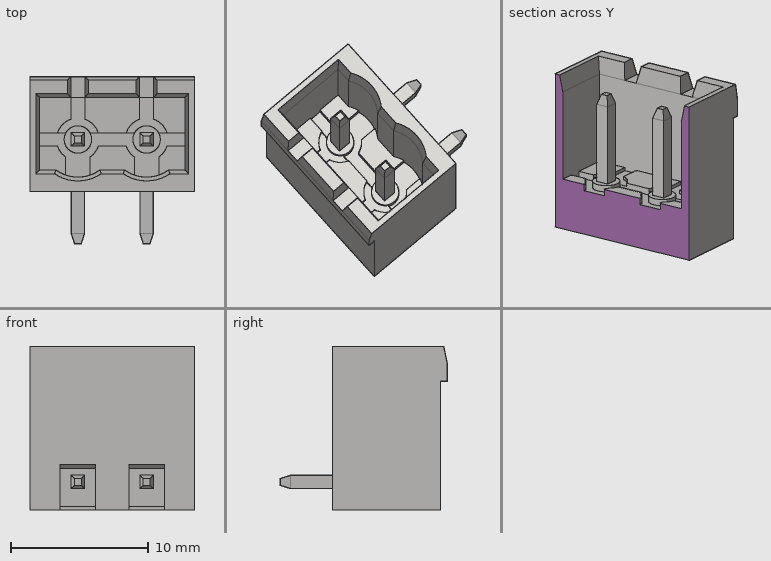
import cadquery as cq
import math


width = 12.0
height = 11.93
lip_overhang = 0.5
depth = 8.39 - lip_overhang
lip_height = 2.55
lip_bevel = 0.25

pitch = 5.01
pin_xs = (-pitch / 2, pitch / 2)
pin_y = 3.8
pin_z = 2.05
pin_side = 0.99
pin_reach = 3.8
tip_side = 0.5
tip_length = 0.75
tip_below_rim = 1.28

side_wall = 0.43
front_wall = 1.3
rear_wall = 1.24
mouth_inset = 0.28
mouth_depth = 1.25
scallop_radius = 3.02
floor_z = 3.9

notch_width = 1.02
notch_flare = 0.24

band_width = 0.94
ring_radius = 1.56
boss_radius = 1.0
front_channel_width = 1.79
deep_recess = 0.49
shallow_recess = 0.24

pocket_width = 2.57
pocket_height = 3.3
pocket_depth = 0.3
pocket_slope = 0.27
relief_height = 0.27
relief_depth = 0.61

rear_y = depth + lip_overhang
mouth_z = height - mouth_depth
mouth_angle = math.degrees(math.atan(mouth_inset / mouth_depth))
cavity_width = width - 2 * (side_wall + mouth_inset)
cavity_front = front_wall + mouth_inset
cavity_rear = rear_y - rear_wall - mouth_inset


def block(x_middle, x_size, y_range, z_range):
    """Box centred on x_middle that fills the given Y and Z ranges."""
    y_low, y_high = y_range
    z_low, z_high = z_range
    box = cq.Workplane("XY").box(x_size, y_high - y_low, z_high - z_low, centered=(True, False, False))
    return box.translate((x_middle, y_low, z_low))


def cylinder(x, y, radius, z_low, z_high):
    """Upright cylinder between two heights."""
    return cq.Workplane("XY", origin=(x, y, z_low)).circle(radius).extrude(z_high - z_low)


def make_housing():
    """Side profile with the bevelled lip at the top of the rear face."""
    profile = [
        (0, 0),
        (depth, 0),
        (depth, height - lip_height),
        (rear_y, height - lip_height),
        (rear_y, mouth_z),
        (rear_y - lip_bevel, height),
        (0, height),
    ]
    return cq.Workplane("YZ").polyline(profile).close().extrude(width / 2, both=True)


def make_cavity():
    """Open space inside the walls: a straight well below a mouth that widens upward."""
    y_middle = (cavity_front + cavity_rear) / 2
    cavity_depth = cavity_rear - cavity_front
    well = block(0, cavity_width, (cavity_front, cavity_rear), (floor_z, height))
    mouth = (
        cq.Workplane("XY", origin=(0, y_middle, height))
        .rect(cavity_width + 2 * mouth_inset, cavity_depth + 2 * mouth_inset)
        .extrude(-mouth_depth, taper=mouth_angle)
    )
    cavity = well.union(mouth)
    for x in pin_xs:
        cone = (
            cq.Workplane("XY", origin=(x, pin_y, height))
            .circle(scallop_radius)
            .extrude(-mouth_depth, taper=mouth_angle)
        )
        shaft = cylinder(x, pin_y, scallop_radius - mouth_inset, floor_z, height)
        front_part = block(x, 2 * scallop_radius, (0, cavity_front), (floor_z, height))
        cavity = cavity.union(cone.union(shaft).intersect(front_part))
    return cavity


def make_notch(x):
    """Notch through the rear wall, wider at the rim than at its floor."""
    floor_half = notch_width / 2
    rim_half = floor_half + notch_flare
    outline = [(-floor_half, mouth_z), (floor_half, mouth_z), (rim_half, height), (-rim_half, height)]
    notch = cq.Workplane("XZ").polyline(outline).close().extrude(-(rear_y - pin_y))
    return notch.translate((x, pin_y, 0))


def make_floor_recess():
    """Cross band, channels and rings sunk into the cavity floor, with a boss left around each pin."""
    band_front = pin_y - band_width / 2
    band_rear = pin_y + band_width / 2
    deep = (floor_z - deep_recess, floor_z)
    shallow = (floor_z - shallow_recess, floor_z)
    scallop_bottom = pin_y - scallop_radius + mouth_inset

    recess = block(0, cavity_width, (band_front, band_rear), deep)
    for x in pin_xs:
        ring = cylinder(x, pin_y, ring_radius, *deep)
        front_channel = block(x, front_channel_width, (scallop_bottom, pin_y), deep)
        scallop = cylinder(x, pin_y, scallop_radius - mouth_inset, *deep)
        front_side = block(x, 2 * ring_radius, (0, band_rear), deep)
        rear_side = block(x, 2 * ring_radius, (band_rear, cavity_rear), shallow)
        rear_channel = block(x, notch_width, (band_rear, cavity_rear), shallow)
        recess = recess.union(ring.intersect(front_side)).union(front_channel.intersect(scallop))
        recess = recess.union(ring.intersect(rear_side)).union(rear_channel)
    for x in pin_xs:
        recess = recess.cut(cylinder(x, pin_y, boss_radius, *deep))
    return recess


def make_pocket(x):
    """Front pocket open at the underside, with a sloped ceiling and a deeper relief at the bottom."""
    profile = [
        (0, 0),
        (relief_depth, 0),
        (relief_depth, relief_height),
        (pocket_depth, relief_height),
        (pocket_depth, pocket_height - pocket_slope),
        (0, pocket_height),
    ]
    pocket = cq.Workplane("YZ").polyline(profile).close().extrude(pocket_width / 2, both=True)
    return pocket.translate((x, 0, 0))


def make_leg(plane, length):
    """Square pin leg ending in a blunt pyramid tip."""
    shank_length = length - tip_length
    shank = cq.Workplane(plane).rect(pin_side, pin_side).extrude(shank_length)
    tip = (
        cq.Workplane(plane)
        .workplane(offset=shank_length)
        .rect(pin_side, pin_side)
        .workplane(offset=tip_length)
        .rect(tip_side, tip_side)
        .loft()
    )
    return shank.union(tip)


def make_pin(x):
    """Right-angle pin: one leg rises in the cavity, the other leaves through the front."""
    upright = make_leg("XY", height - tip_below_rim - pin_z)
    tail = make_leg("XZ", pin_y + pin_reach)
    elbow = cq.Workplane("XY").box(pin_side, pin_side, pin_side)
    return upright.union(tail).union(elbow).translate((x, pin_y, pin_z))


result = make_housing().cut(make_cavity()).cut(make_floor_recess())
for pin_x in pin_xs:
    result = result.cut(make_notch(pin_x)).cut(make_pocket(pin_x))
for pin_x in pin_xs:
    result = result.union(make_pin(pin_x))